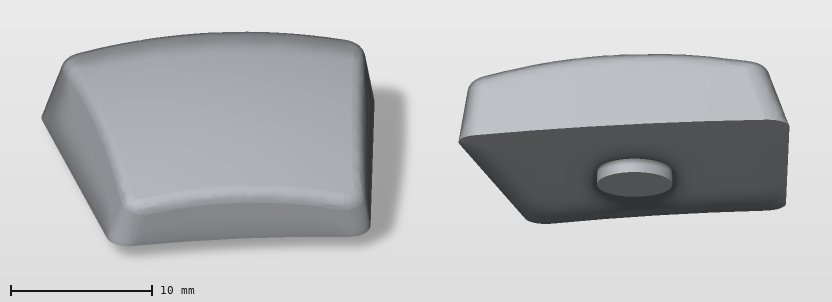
import cadquery as cq

outer_wall_axis = (49.85, -72.27)
outer_wall_radius = 97.72
inner_wall_axis = (46.71, -69.96)
inner_wall_radius = 74.47

wide_end_direction = 225.0
wide_end_distance = 10.76
wide_end_draft = 20.0
narrow_end_direction = 28.0
narrow_end_distance = 10.25
narrow_end_draft = 10.0

dome_radius = 49.0
dome_center_xy = (-2.7, 3.4)
dome_top_height = 5.75

corner_radius = 1.5
rim_radius = 1.0

stem_diameter = 5.3
stem_length = 1.0

blank_height = 12.0
trim_size = 80.0


def wall_cylinder(axis, radius):
    """Upright cylinder standing on the plane of the underside."""
    return cq.Workplane("XY").center(*axis).circle(radius).extrude(blank_height)


def crescent_blank():
    """Blank bounded by the two curved side walls."""
    outer = wall_cylinder(outer_wall_axis, outer_wall_radius)
    return outer.cut(wall_cylinder(inner_wall_axis, inner_wall_radius))


def inside_of_end(direction, distance, draft):
    """Block filling the inner side of one drafted end wall."""
    block = cq.Workplane("XY").box(trim_size, trim_size, trim_size)
    return (
        block.translate((-trim_size / 2, 0, 0))
        .rotate((0, 0, 0), (0, 1, 0), -draft)
        .translate((distance, 0, 0))
        .rotate((0, 0, 0), (0, 0, 1), direction)
    )


def dome():
    """Sphere that limits the height of the cap, turned so that its seam lies underneath."""
    center_x, center_y = dome_center_xy
    return (
        cq.Workplane("XY")
        .sphere(dome_radius)
        .rotate((0, 0, 0), (0, 1, 0), 90)
        .translate((center_x, center_y, dome_top_height - dome_radius))
    )


def cap():
    """Domed cap with rounded upright corners and a rounded rim."""
    body = crescent_blank()
    body = body.intersect(inside_of_end(wide_end_direction, wide_end_distance, wide_end_draft))
    body = body.intersect(inside_of_end(narrow_end_direction, narrow_end_distance, narrow_end_draft))
    corners = [
        edge for edge in body.edges().vals()
        if edge.BoundingBox().zlen > blank_height / 2
    ]
    body = body.newObject(corners).fillet(corner_radius)
    body = body.intersect(dome())
    return body.faces(">Z").edges().fillet(rim_radius)


def stem():
    """Short round peg under the cap."""
    return cq.Workplane("XY").circle(stem_diameter / 2).extrude(-stem_length)


result = cap().union(stem())